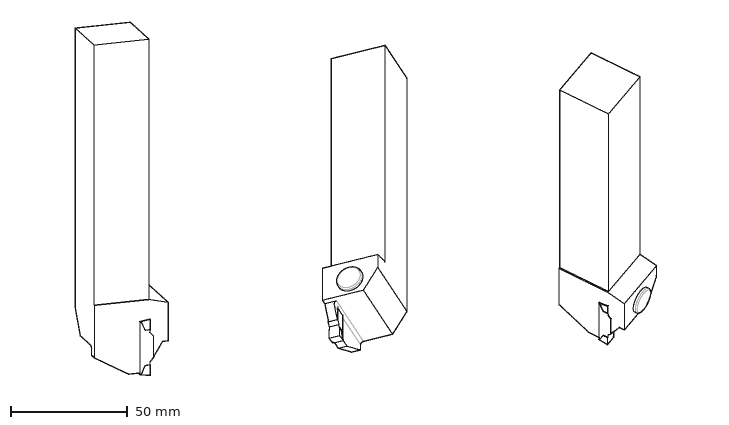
import cadquery as cq

overall_height = 151.4
shank_side = 25.0
head_width = 25.6
head_top = 34.0
head_depth = 33.5
head_rear_top = 32.0
head_floor = 14.5
bevel_width = 6.7
bevel_top = 25.0

blade_thickness = 4.1
blade_left = head_width - blade_thickness
blade_bottom = 1.4
blade_front_height = 10.3
blade_slope_end = 15.5
blade_rear_root = 30.9
neck_radius = 1.4

screw_diameter = 11.8
screw_height = 1.7
screw_x = 12.7
screw_z = 22.0
screw_edge_radius = 0.6

insert_length = 25.3
insert_front = 20.6
insert_rear = 26.6
cutting_edge_y = 25.1
end_relief = 0.6
rake_top = 6.0
rake_ramp_top = 7.7
waist_overhang = 0.23
edge_overhang = 0.5
cheek_height = 4.7
cheek_front_top = 22.9
cheek_front_bottom = 21.2
cheek_lower_height = 1.0


def side_prism(points, x_start, x_end):
    """Prism along X from an outline of (Y, Z) points."""
    return cq.Workplane("YZ", origin=(x_start, 0, 0)).polyline(points).close().extrude(x_end - x_start)


def make_insert():
    mirror_z = insert_length
    lower_rear_points = [
        (insert_front, end_relief),
        (cutting_edge_y, 0),
        (cutting_edge_y, rake_top),
        (insert_rear, rake_ramp_top),
    ]
    upper_rear_points = [(y, mirror_z - z) for y, z in reversed(lower_rear_points)]
    insert = side_prism(
        lower_rear_points + upper_rear_points,
        blade_left - waist_overhang,
        head_width + waist_overhang,
    )

    end_points = [
        (insert_front, end_relief),
        (cutting_edge_y, 0),
        (cutting_edge_y, cheek_height),
        (cheek_front_top, cheek_height),
        (cheek_front_bottom, cheek_lower_height),
    ]
    for outline in (end_points, [(y, mirror_z - z) for y, z in end_points]):
        wide_end = side_prism(outline, blade_left - edge_overhang, head_width + edge_overhang)
        insert = insert.union(wide_end)
    return insert


def make_head():
    front_shape = (
        cq.Workplane("XZ")
        .moveTo(0, head_top)
        .lineTo(0, bevel_top)
        .lineTo(bevel_width, head_floor)
        .lineTo(blade_left - neck_radius, head_floor)
        .radiusArc((blade_left, head_floor - neck_radius), neck_radius)
        .lineTo(blade_left, blade_bottom)
        .lineTo(head_width, blade_bottom)
        .lineTo(head_width, head_top)
        .close()
        .extrude(-head_depth)
    )
    side_shape = side_prism(
        [
            (0, head_top),
            (0, blade_front_height),
            (blade_slope_end, blade_bottom),
            (insert_front, blade_bottom),
            (insert_rear, rake_ramp_top),
            (blade_rear_root, head_floor),
            (head_depth, head_floor),
            (head_depth, head_rear_top),
            (shank_side, head_top),
        ],
        0,
        head_width,
    )
    return front_shape.intersect(side_shape)


def make_screw_head():
    return (
        cq.Workplane("XZ", origin=(screw_x, head_depth, screw_z))
        .circle(screw_diameter / 2)
        .extrude(-screw_height)
        .faces(">Y")
        .edges()
        .fillet(screw_edge_radius)
    )


def make_holder(insert):
    shank = cq.Workplane("XY", origin=(0, 0, head_top)).box(
        shank_side, shank_side, overall_height - head_top, centered=False
    )
    return shank.union(make_head()).union(make_screw_head()).cut(insert)


insert = make_insert()
holder = make_holder(insert)

result = cq.Compound.makeCompound([holder.solids().val(), insert.solids().val()])